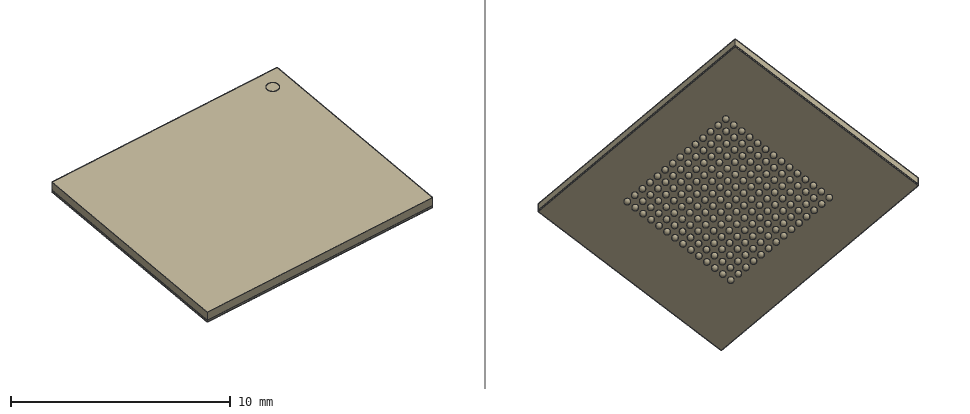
import cadquery as cq
import math

LENGTH_X = 11.5
LENGTH_Y = 13
TOTAL_HEIGHT = 0.82

BALL_DROP = 0.22
SUBSTRATE_THICKNESS = 0.12
substrate_top = BALL_DROP + SUBSTRATE_THICKNESS
cap_thickness = TOTAL_HEIGHT - substrate_top

BALLS_PER_SIDE = 14
BALL_GRID_SPAN = 6.5
ball_pitch = BALL_GRID_SPAN / (BALLS_PER_SIDE - 1)
BALL_RADIUS = 0.15

MARK_DIAMETER = 0.62
MARK_DEPTH = 0.01
MARK_INSET_X = 0.95
MARK_INSET_Y = 1.0
mark_x = MARK_INSET_X - LENGTH_X / 2
mark_y = LENGTH_Y / 2 - MARK_INSET_Y


def plate(bottom, thickness):
    """Full-size rectangular layer whose underside is at height bottom."""
    return (
        cq.Workplane("XY", origin=(0, 0, bottom))
        .rect(LENGTH_X, LENGTH_Y)
        .extrude(thickness)
    )


def ball_cap():
    """The part of one solder ball below the substrate, on the Z axis with its tip at Z = 0."""
    contact_radius = math.sqrt(BALL_RADIUS**2 - (BALL_DROP - BALL_RADIUS) ** 2)
    return (
        cq.Workplane("YZ")
        .moveTo(0, 0)
        .threePointArc((-BALL_RADIUS, BALL_RADIUS), (-contact_radius, BALL_DROP))
        .lineTo(0, BALL_DROP)
        .close()
        .revolve(360, (0, 0), (0, 1))
        .val()
    )


def make_substrate():
    """Thin carrier board with its square grid of solder balls, as one solid."""
    board = plate(BALL_DROP, SUBSTRATE_THICKNESS).val()
    ball = ball_cap()
    first_place = -BALL_GRID_SPAN / 2
    balls = []
    for column in range(BALLS_PER_SIDE):
        for row in range(BALLS_PER_SIDE):
            x = first_place + column * ball_pitch
            y = first_place + row * ball_pitch
            balls.append(ball.translate(cq.Vector(x, y, 0)))
    return cq.Workplane(board.fuse(*balls).Solids()[0])


def make_cap():
    """Moulded cap that covers the substrate, with the pin-one recess."""
    recess = (
        cq.Workplane("XY", origin=(mark_x, mark_y, TOTAL_HEIGHT - MARK_DEPTH))
        .circle(MARK_DIAMETER / 2)
        .extrude(MARK_DEPTH)
    )
    return plate(substrate_top, cap_thickness).cut(recess)


substrate = make_substrate()
cap = make_cap()

result = cq.Compound.makeCompound([substrate.val(), cap.val()])